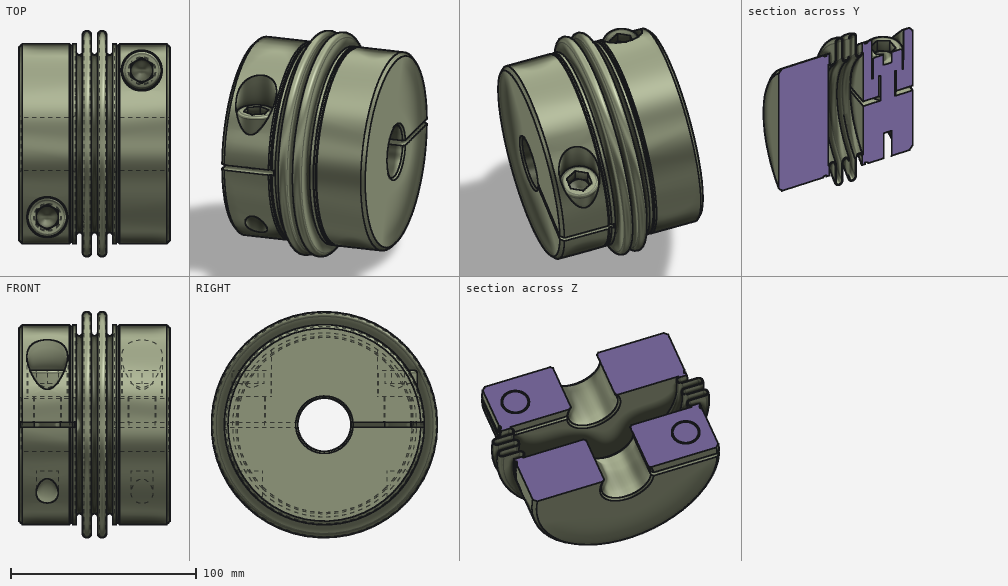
import cadquery as cq
import math

length = 81.6
outer_radius = 61.0

hub_radius = 108.0 / 2
hub_chamfer = 2.0
bore_radius = 28.7 / 2
bore_chamfer = 1.16
groove_radius = 106.4 / 2
groove_inner_x = 11.8
groove_outer_x = 12.9

crest_x = 8.2 / 2
wall = 0.79
valley_bend_radius = 3.3 / 2
crest_bend_radius = valley_bend_radius + wall
valley_radius = 96.0 / 2
valley_center_radius = valley_radius + valley_bend_radius
crest_center_radius = outer_radius - crest_bend_radius

flange_outer_x = 2 * crest_x + valley_bend_radius + wall
flange_inner_x = flange_outer_x - wall

slit_width = 2.9
screw_x = -25.5
screw_y = -39.5
head_radius = 21.0 / 2
head_top_z = 29.3
head_height = 14.0
head_fillet = 1.3
seat_z = head_top_z - head_height
pocket_radius = 22.0 / 2
shank_radius = 14.0 / 2
shank_length = 40.0
clearance_radius = 15.0 / 2
tap_radius = 11.8 / 2
socket_width = 12.0
socket_depth = 7.0
socket_cone_depth = 2.5


def make_left_hub():
    """Revolved hub ring with a chamfered bore and a groove near its inner face."""
    end_x = -length / 2
    inner_x = -flange_outer_x
    groove_chamfer = hub_radius - groove_radius
    profile = [
        (end_x, bore_radius + bore_chamfer),
        (end_x, hub_radius - hub_chamfer),
        (end_x + hub_chamfer, hub_radius),
        (-groove_outer_x - groove_chamfer, hub_radius),
        (-groove_outer_x, groove_radius),
        (-groove_inner_x, groove_radius),
        (-groove_inner_x, hub_radius),
        (inner_x, hub_radius),
        (inner_x, bore_radius + bore_chamfer),
        (inner_x - bore_chamfer, bore_radius),
        (end_x + bore_chamfer, bore_radius),
    ]
    ring = cq.Workplane("XY").polyline(profile).close().revolve(360, (0, 0, 0), (1, 0, 0))
    return ring.rotate((0, 0, 0), (1, 0, 0), 180)


def vertical_cylinder(radius, bottom_z, top_z):
    """Cylinder on the screw axis between two heights."""
    return (
        cq.Workplane("XY", origin=(screw_x, screw_y, bottom_z))
        .circle(radius)
        .extrude(top_z - bottom_z)
    )


def make_screw():
    """Socket head screw with a hexagon socket ending in a cone."""
    head = vertical_cylinder(head_radius, seat_z, head_top_z).faces(">Z").edges().fillet(head_fillet)
    shank = vertical_cylinder(shank_radius, seat_z - shank_length, seat_z)
    hexagon_diameter = socket_width / math.cos(math.pi / 6)
    socket_floor_z = head_top_z - socket_depth
    socket = (
        cq.Workplane("XY", origin=(screw_x, screw_y, socket_floor_z))
        .transformed(rotate=(0, 0, 30))
        .polygon(6, hexagon_diameter)
        .extrude(socket_depth)
    )
    cone = cq.Workplane(
        cq.Solid.makeCone(
            socket_width / 2,
            0,
            socket_cone_depth,
            pnt=cq.Vector(screw_x, screw_y, socket_floor_z),
            dir=cq.Vector(0, 0, -1),
        )
    )
    return head.union(shank).cut(socket).cut(cone)


def make_clamp():
    """Hub on the -X side, slit towards -Y and closed by its screw."""
    slit_length = length / 2 - flange_outer_x
    slit = cq.Workplane("XY").box(slit_length, hub_radius, slit_width, centered=(False, False, True))
    slit = slit.translate((-length / 2, -hub_radius, 0))
    return (
        make_left_hub()
        .cut(slit)
        .cut(vertical_cylinder(pocket_radius, seat_z, hub_radius))
        .cut(vertical_cylinder(clearance_radius, 0, seat_z))
        .cut(vertical_cylinder(tap_radius, -hub_radius, 0))
        .union(make_screw())
    )


def follow_skin(path, direction, valley_bend, crest_bend):
    """Extend a path along one skin of the bellows, towards +X (1) or -X (-1)."""
    valley_floor = valley_center_radius - valley_bend
    crest_top = crest_center_radius + crest_bend
    valley_half = direction * valley_bend
    crest_half = direction * crest_bend
    for valley_x in (-2 * direction * crest_x, 0):
        next_crest_x = valley_x + direction * crest_x
        path = (
            path.threePointArc((valley_x, valley_floor), (valley_x + valley_half, valley_center_radius))
            .lineTo(next_crest_x - crest_half, crest_center_radius)
            .threePointArc((next_crest_x, crest_top), (next_crest_x + crest_half, crest_center_radius))
            .lineTo(next_crest_x + crest_half, valley_center_radius)
        )
    last_valley_x = 2 * direction * crest_x
    return path.threePointArc(
        (last_valley_x, valley_floor), (last_valley_x + valley_half, valley_center_radius)
    )


def make_bellows():
    """Thin wavy shell with a flat flange at each end."""
    profile = (
        cq.Workplane("XY")
        .moveTo(-flange_outer_x, valley_center_radius)
        .lineTo(-flange_outer_x, hub_radius)
        .lineTo(-flange_inner_x, hub_radius)
        .lineTo(-flange_inner_x, valley_center_radius)
    )
    profile = follow_skin(profile, 1, valley_bend_radius, crest_bend_radius)
    profile = (
        profile.lineTo(flange_inner_x, hub_radius)
        .lineTo(flange_outer_x, hub_radius)
        .lineTo(flange_outer_x, valley_center_radius)
    )
    profile = follow_skin(profile, -1, valley_bend_radius + wall, crest_bend_radius - wall)
    return profile.close().revolve(360, (0, 0, 0), (1, 0, 0))


clamp = make_clamp()
opposite_clamp = clamp.rotate((0, 0, 0), (0, 0, 1), 180)
result = make_bellows().union(clamp).union(opposite_clamp)